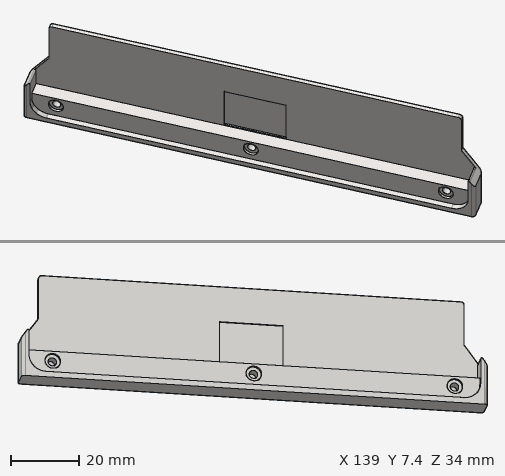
import cadquery as cq

length = 139.0
depth = 7.4
height = 34.0
front_y = -depth / 2
back_y = depth / 2

plate_thickness = 1.4
plate_width = 127.0
plate_front_y = back_y - plate_thickness
plate_corner_radius = 1.0
shoulder_top_z = 20.5

wall_thickness = 2.1
wall_crest_radius = 0.3
shoulder_bottom_z = 12.3
lip_height = 1.7
outer_edge_radius = 1.0

bar_top_z = 8.8
bar_setback = 1.8
bar_front_y = front_y + bar_setback
recess_width = length - 2 * wall_thickness
recess_corner_radius = 5.0

hole_spacing = 60.0
hole_z = 5.8
hole_diameter = 2.5
hole_depth = 4.0
counterbore_diameter = 4.6
counterbore_depth = 0.8

window_width = 19.0
window_bottom_z = 9.2
window_top_z = 23.0
window_depth = 0.5


def plane_at(y):
    """XZ work plane at the given Y; extruding goes towards +Y."""
    return cq.Workplane(cq.Plane(origin=(0, y, 0), xDir=(1, 0, 0), normal=(0, -1, 0)))


def make_blank():
    """Full-depth block with the stepped silhouette of plate and shoulders."""
    half_length = length / 2
    half_plate = plate_width / 2
    right_side = [
        (half_length, 0),
        (half_length, shoulder_bottom_z),
        (half_plate, shoulder_top_z),
        (half_plate, height),
    ]
    left_side = [(-x, z) for x, z in reversed(right_side)]
    blank = plane_at(front_y).polyline(right_side + left_side).close().extrude(-depth)
    blank = blank.edges("|Y and >Z").fillet(plate_corner_radius)
    return blank.edges("|Z and (<X or >X)").fillet(outer_edge_radius)


def block(width, bottom_z, top_z, start_y, end_y):
    """Box centred on X between the given Z and Y limits."""
    return (
        plane_at(start_y)
        .center(0, (bottom_z + top_z) / 2)
        .rect(width, top_z - bottom_z)
        .extrude(start_y - end_y)
    )


def cut_recess(body):
    """Open the frame upwards, leaving the bar behind a shallow front recess."""
    above_bar = block(recess_width, bar_top_z, height, front_y, plate_front_y)
    front_recess = block(recess_width, lip_height, height, front_y, bar_front_y)
    front_recess = front_recess.edges("|Y and <Z").fillet(recess_corner_radius)
    return body.cut(above_bar).cut(front_recess)


def round_wall_crests(body):
    """Fillet the sharp inner top edge of each end wall, in front of the plate."""
    middle_y = (front_y + plate_front_y) / 2
    half_recess = recess_width / 2
    shoulder_slope = (shoulder_top_z - shoulder_bottom_z) / (length - plate_width) * 2
    crest_z = shoulder_bottom_z + shoulder_slope * wall_thickness
    for x in (-half_recess, half_recess):
        crest = cq.selectors.NearestToPointSelector((x, middle_y, crest_z))
        body = body.edges("|Y").edges(crest).fillet(wall_crest_radius)
    return body


def cut_screw_holes(body):
    """Blind counterbored holes entering the front of the bar."""
    centres = [(x, hole_z) for x in (-hole_spacing, 0, hole_spacing)]
    for diameter, cut_depth in ((hole_diameter, hole_depth), (counterbore_diameter, counterbore_depth)):
        cutter = plane_at(bar_front_y).pushPoints(centres).circle(diameter / 2).extrude(-cut_depth)
        body = body.cut(cutter)
    return body


def cut_window(body):
    """Shallow rectangular pocket in the front of the plate."""
    pocket = block(window_width, window_bottom_z, window_top_z, plate_front_y, plate_front_y + window_depth)
    return body.cut(pocket)


part = round_wall_crests(cut_recess(make_blank()))
result = cut_window(cut_screw_holes(part))